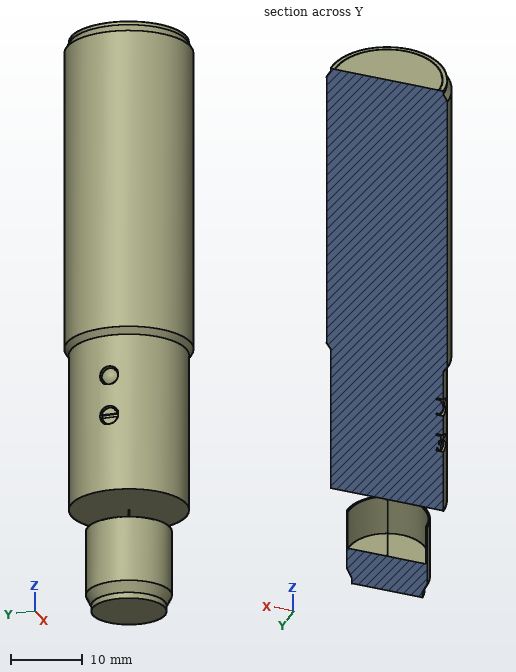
import cadquery as cq

total_height = 84.5
body_diameter = 18.0
sleeve_diameter = 16.7
connector_diameter = 12.0
connector_tip_diameter = 10.5

tip_top = 0.85
connector_cone_top = 2.4
connector_top = 11.8
sleeve_bottom = 15.0
sleeve_top = 38.0
body_bottom = 38.95
body_top = 82.9
rim_bottom = 84.0

window_diameter = 15.4
groove_diameter = 15.5
groove_depth = 0.25

cup_wall = 0.25
cup_depth = 6.1

core_diameter = 0.2

fitting_hole_diameter = 2.7
fitting_diameter = 2.4
fitting_hole_depth = 1.0
lamp_level = 32.1
lamp_crown = 0.4
screw_level = 26.2
screw_recess = 0.3
screw_slot_width = 0.5
screw_slot_depth = 0.3

sleeve_radius = sleeve_diameter / 2
hole_floor_x = -sleeve_radius + fitting_hole_depth


def cylinder_up(diameter, bottom, top):
    """Upright cylinder on the main axis."""
    return cq.Workplane("XY").workplane(offset=bottom).circle(diameter / 2).extrude(top - bottom)


def fitting_cylinder(diameter, level, start_x, end_x):
    """Cylinder along X, centred on a fitting."""
    return cq.Workplane("YZ", origin=(start_x, 0, level)).circle(diameter / 2).extrude(end_x - start_x)


def make_housing():
    """Sleeve, main body and rim turned in one profile, with a groove around the end window."""
    housing = (
        cq.Workplane("XZ")
        .moveTo(0, sleeve_bottom)
        .lineTo(sleeve_radius, sleeve_bottom)
        .lineTo(sleeve_radius, sleeve_top)
        .lineTo(body_diameter / 2, body_bottom)
        .lineTo(body_diameter / 2, body_top)
        .lineTo(sleeve_radius, rim_bottom)
        .lineTo(sleeve_radius, total_height)
        .lineTo(0, total_height)
        .close()
        .revolve(360, (0, 0, 0), (0, 1, 0))
    )
    groove_floor = total_height - groove_depth
    window = cylinder_up(window_diameter, groove_floor, total_height)
    groove = cylinder_up(groove_diameter, groove_floor, total_height).cut(window)
    return housing.cut(groove)


def make_connector():
    """Tapered plug, open at its upper end."""
    connector = (
        cq.Workplane("XZ")
        .lineTo(connector_tip_diameter / 2, 0)
        .lineTo(connector_tip_diameter / 2, tip_top)
        .lineTo(connector_diameter / 2, connector_cone_top)
        .lineTo(connector_diameter / 2, connector_top)
        .lineTo(0, connector_top)
        .close()
        .revolve(360, (0, 0, 0), (0, 1, 0))
    )
    cup = cylinder_up(connector_diameter - 2 * cup_wall, connector_top - cup_depth, connector_top)
    return connector.cut(cup)


def make_lamp():
    """Round lamp whose domed crown reaches the sleeve surface."""
    crown_x = -sleeve_radius
    radius = fitting_diameter / 2
    crown_radius = (radius**2 + lamp_crown**2) / (2 * lamp_crown)
    dome = cq.Workplane("XY").sphere(crown_radius).translate((crown_x + crown_radius, 0, lamp_level))
    return fitting_cylinder(fitting_diameter, lamp_level, crown_x, hole_floor_x).intersect(dome)


def make_screw():
    """Flat adjusting screw with a slot across its head."""
    head_x = -sleeve_radius + screw_recess
    screw = fitting_cylinder(fitting_diameter, screw_level, head_x, hole_floor_x)
    slot = cq.Workplane("XY").box(2 * screw_slot_depth, fitting_diameter, screw_slot_width)
    return screw.cut(slot.translate((head_x, 0, screw_level)))


housing = make_housing()
for level in (lamp_level, screw_level):
    housing = housing.cut(fitting_cylinder(fitting_hole_diameter, level, -sleeve_radius, hole_floor_x))
housing = housing.union(make_lamp()).union(make_screw())

core = cylinder_up(core_diameter, connector_top - cup_depth, sleeve_bottom)
result = housing.union(core).union(make_connector())